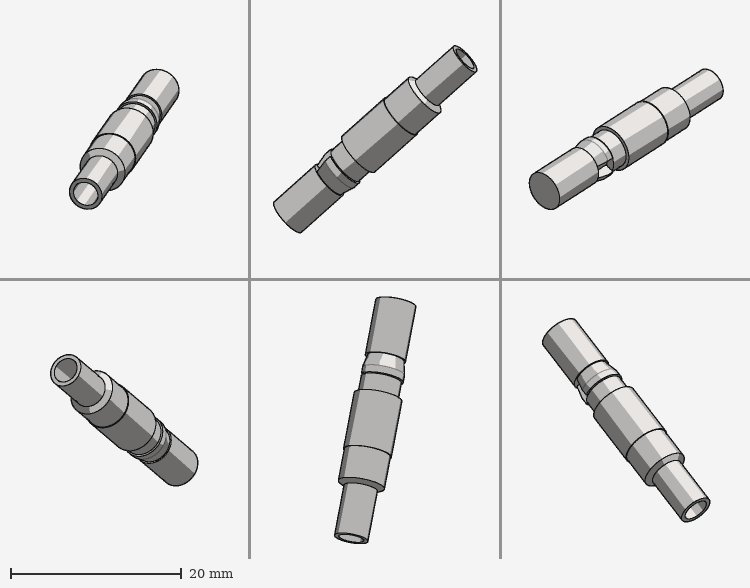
import cadquery as cq
import math

length = 29.0
back_face = length / 2

sleeve_diameter = 4.8
body_diameter = 5.7
front_body_diameter = 5.5
tail_diameter = 4.0

body_start = 11.57
front_body_start = 18.47
tail_start = 22.82
shoulder_angle = 30.0

groove_diameter = 2.8
groove_start = 6.8
groove_length = 2.6
clip_gap = 0.1
clip_small_diameter = 4.45
clip_large_diameter = 5.2
clip_taper_length = 1.65
clip_slot_angle = 45.0

bore_diameter = 3.0
bore_depth = 5.8
seat_diameter = 2.3
seat_cone_angle = 30.0
pilot_diameter = 1.7
pilot_depth = 0.87


def revolve_about_y(points):
    """Turn a closed (radius, y) outline about the Y axis."""
    return cq.Workplane("XY").polyline(points).close().revolve(360, (0, 0, 0), (0, 1, 0))


def make_shank():
    """Sleeve, groove, body, shoulder and tail as one turned piece."""
    groove_end = groove_start + groove_length
    shoulder_rise = (front_body_diameter - tail_diameter) / 2
    shoulder_start = tail_start - shoulder_rise * math.tan(math.radians(shoulder_angle))
    steps = [
        (0, 0),
        (sleeve_diameter, 0),
        (sleeve_diameter, groove_start),
        (groove_diameter, groove_start),
        (groove_diameter, groove_end),
        (sleeve_diameter, groove_end),
        (sleeve_diameter, body_start),
        (body_diameter, body_start),
        (body_diameter, front_body_start),
        (front_body_diameter, front_body_start),
        (front_body_diameter, shoulder_start),
        (tail_diameter, tail_start),
        (tail_diameter, length),
        (0, length),
    ]
    return revolve_about_y([(diameter / 2, back_face - station) for diameter, station in steps])


def make_clip():
    """Tapered ring filling the groove up to the gap, open in a sector towards -X."""
    clip_end = groove_start + groove_length - clip_gap
    steps = [
        (groove_diameter, groove_start),
        (clip_small_diameter, groove_start),
        (clip_large_diameter, groove_start + clip_taper_length),
        (clip_large_diameter, clip_end),
        (groove_diameter, clip_end),
    ]
    ring = revolve_about_y([(diameter / 2, back_face - station) for diameter, station in steps])

    reach = body_diameter
    half_width = reach * math.tan(math.radians(clip_slot_angle / 2))
    sector = (
        cq.Workplane("XZ")
        .polyline([(0, 0), (-reach, half_width), (-reach, -half_width)])
        .close()
        .extrude(length / 2, both=True)
    )
    return ring.cut(sector)


def make_bore():
    """Blind bore whose bottom rises in a cone to a flat seat around a pilot hole."""
    seat_rise = (bore_diameter - seat_diameter) / 2 * math.tan(math.radians(seat_cone_angle))
    seat_depth = bore_depth - seat_rise
    steps = [
        (0, 0),
        (bore_diameter, 0),
        (bore_diameter, bore_depth),
        (seat_diameter, seat_depth),
        (pilot_diameter, seat_depth),
        (pilot_diameter, seat_depth + pilot_depth),
        (0, seat_depth + pilot_depth),
    ]
    front_face = back_face - length
    return revolve_about_y([(diameter / 2, front_face + depth) for diameter, depth in steps])


result = make_shank().union(make_clip()).cut(make_bore())